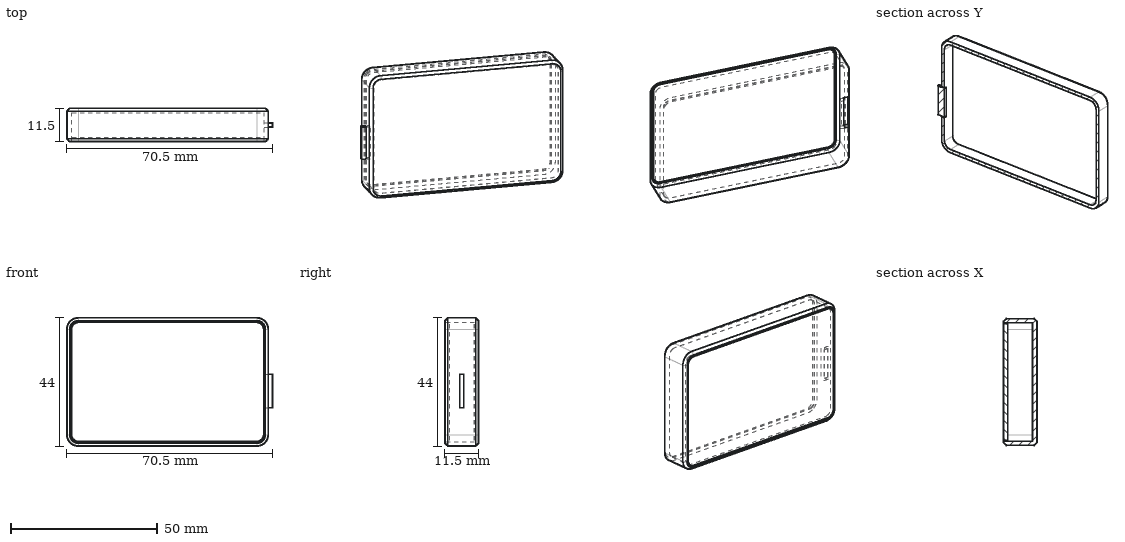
import cadquery as cq
import math

housing_length = 69.0
housing_depth = 11.5
housing_height = 44.0
corner_radius = 4.0
edge_chamfer = 1.0
wall = 1.5

cavity_depth = housing_depth - wall
cavity_chamfer = edge_chamfer - wall * (2 - math.sqrt(2))

panel_clearance = 0.1
panel_inset = wall + panel_clearance
panel_thickness = wall

key_projection = 1.5
key_thickness = 1.5
key_height = 11.5
key_center_z = -3.1

front_y = -housing_depth / 2
side_x = housing_length / 2


def inset_slab(inset, depth):
    """Slab from the front face toward +Y, its outline inset evenly from the housing's."""
    return (
        cq.Workplane("XZ", origin=(0, front_y, 0))
        .rect(housing_length - 2 * inset, housing_height - 2 * inset)
        .extrude(-depth)
        .edges("|Y")
        .fillet(corner_radius - inset)
    )


def make_panel():
    return inset_slab(panel_inset, panel_thickness)


def make_key():
    key_length = wall + key_projection
    key_center_x = side_x - wall + key_length / 2
    return (
        cq.Workplane("XY")
        .box(key_length, key_thickness, key_height)
        .translate((key_center_x, 0, key_center_z))
    )


def make_housing(key):
    """Chamfered tray with an open front and a slot in the +X wall for the key."""
    block = inset_slab(0, housing_depth).faces("<Y or >Y").edges().chamfer(edge_chamfer)
    cavity = inset_slab(wall, cavity_depth).faces(">Y").edges().chamfer(cavity_chamfer)
    return block.cut(cavity).cut(key)


panel = make_panel()
key = make_key()
housing = make_housing(key)

bodies = [body.solids().val() for body in (housing, panel, key)]
result = cq.Compound.makeCompound(bodies)